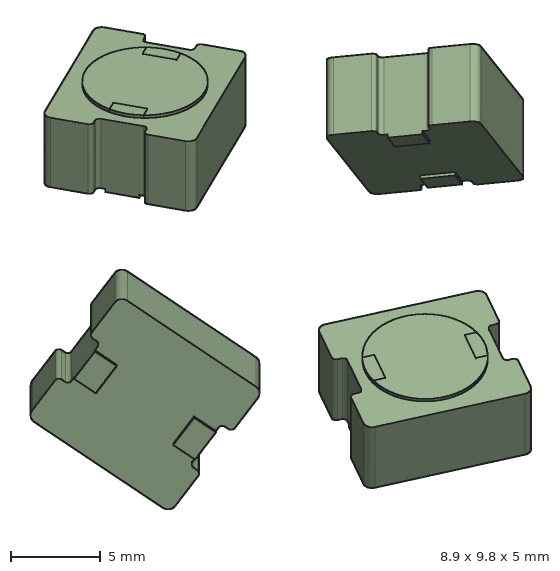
import cadquery as cq

width = 8.9
length = 9.8
overall_height = 5.0
corner_radius = 0.5

notch_width = 3.0
notch_depth = 0.75
notch_radius = 0.25

pad_width = 2.0
pad_length = 1.5
pad_height = 0.2

cap_diameter = 7.0
cap_height = 0.2

body_height = overall_height - pad_height - cap_height
notch_floor_y = length / 2 - notch_depth
pad_center_y = notch_floor_y - pad_length / 2


def make_block():
    """Rectangular block with rounded corners and two rounded end notches."""
    block = (
        cq.Workplane("XY")
        .rect(width, length)
        .extrude(body_height)
        .edges("|Z")
        .fillet(corner_radius)
    )
    notches = (
        cq.Workplane("XY")
        .pushPoints([(0, length / 2), (0, -length / 2)])
        .rect(notch_width, 2 * notch_depth)
        .extrude(body_height)
    )
    reach = notch_width / 2 + notch_radius
    notch_edges = cq.selectors.BoxSelector(
        (-reach, -length, 0), (reach, length, body_height)
    )
    return block.cut(notches).edges("|Z").edges(notch_edges).fillet(notch_radius)


def make_pads(bottom_z, height):
    """Pair of rectangular pads, one next to each notch."""
    return (
        cq.Workplane("XY", origin=(0, 0, bottom_z))
        .pushPoints([(0, pad_center_y), (0, -pad_center_y)])
        .rect(pad_width, pad_length)
        .extrude(height)
    )


def make_disc():
    """Full round disc resting on the housing top."""
    return (
        cq.Workplane("XY", origin=(0, 0, body_height))
        .circle(cap_diameter / 2)
        .extrude(cap_height)
    )


def make_housing():
    """Block with pads below and tabs above, the tabs trimmed to the cap's rim."""
    tabs = make_pads(body_height, cap_height).intersect(make_disc())
    return make_block().union(make_pads(-pad_height, pad_height)).union(tabs)


def make_cap():
    """Disc with two rim recesses that fit around the housing tabs."""
    return make_disc().cut(make_pads(body_height, cap_height))


housing = make_housing()
cap = make_cap()

result = cq.Compound.makeCompound([housing.val(), cap.val()])